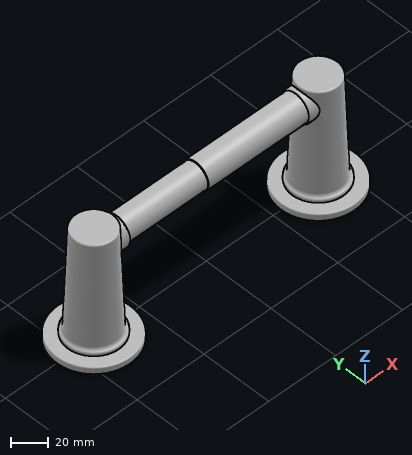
import cadquery as cq

overall_length = 223.5
flange_radius = 28.0
post_height = 83.8
post_offset = overall_length / 2 - flange_radius

flange_thickness = 5.0
flange_edge_round = 1.0

collar_radius = 19.2
collar_wall_top = 6.0
shoulder_radius = 18.5
shoulder_top = 7.4
shoulder_bulge = 0.15
flare_top = 9.4
flare_sag = 0.2

post_base_radius = 17.0
post_top_radius = 14.3
post_top_round = 1.1

bar_height = 70.2
thin_bar_radius = 9.5
thick_bar_radius = 10.3
bar_step_x = -7.8
socket_radius = 11.2
socket_reach = 17.0
socket_edge_round = 1.0


def cylinder_along_x(start_x, end_x, radius):
    """Solid cylinder on the bar axis between two X positions."""
    plane = cq.Workplane("YZ", origin=(start_x, 0, bar_height))
    return plane.circle(radius).extrude(end_x - start_x)


def make_flange():
    flange = cq.Workplane("XY").circle(flange_radius).extrude(flange_thickness)
    return flange.faces(">Z").edges().fillet(flange_edge_round)


def make_collar():
    """Collar with a rounded shoulder and a concave flare up to the post."""
    shoulder_middle = (
        (collar_radius + shoulder_radius) / 2 + shoulder_bulge,
        (collar_wall_top + shoulder_top) / 2 + shoulder_bulge,
    )
    flare_middle = (
        (shoulder_radius + post_base_radius) / 2 - flare_sag,
        (shoulder_top + flare_top) / 2 - flare_sag,
    )
    profile = (
        cq.Workplane("XZ")
        .moveTo(0, flange_thickness)
        .lineTo(collar_radius, flange_thickness)
        .lineTo(collar_radius, collar_wall_top)
        .threePointArc(shoulder_middle, (shoulder_radius, shoulder_top))
        .threePointArc(flare_middle, (post_base_radius, flare_top))
        .lineTo(0, flare_top)
        .close()
    )
    return profile.revolve(360, (0, 0, 0), (0, 1, 0))


def make_tapered_post():
    post = (
        cq.Workplane("XY", origin=(0, 0, flare_top))
        .circle(post_base_radius)
        .workplane(offset=post_height - flare_top)
        .circle(post_top_radius)
        .loft(ruled=True)
    )
    return post.faces(">Z").edges().fillet(post_top_round)


def make_socket():
    socket = cylinder_along_x(0, socket_reach, socket_radius)
    return socket.faces(">X").edges().fillet(socket_edge_round)


def make_post():
    """Complete post on the Z axis with its socket facing +X."""
    return make_flange().union(make_collar()).union(make_tapered_post()).union(make_socket())


def make_bar():
    thin_bar = cylinder_along_x(-post_offset, bar_step_x, thin_bar_radius)
    thick_bar = cylinder_along_x(bar_step_x, post_offset, thick_bar_radius)
    return thin_bar.union(thick_bar)


left_post = make_post().translate((-post_offset, 0, 0))
right_post = left_post.mirror("YZ")
result = left_post.union(right_post).union(make_bar())